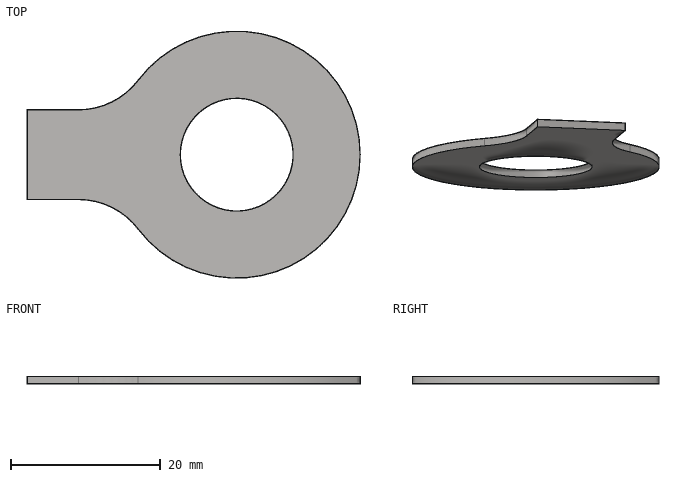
import cadquery as cq
import math

overall_length = 44.45
disc_diameter = 32.97
hole_diameter = 15.0
tab_width = 12.0
blend_radius = 10.0
thickness = 1.0

disc_radius = disc_diameter / 2
tab_half_width = tab_width / 2
tab_end_x = disc_radius - overall_length

blend_center_y = tab_half_width + blend_radius
center_distance = disc_radius + blend_radius
blend_center_x = -math.sqrt(center_distance**2 - blend_center_y**2)

disc_share = disc_radius / center_distance
disc_tangent_x = blend_center_x * disc_share
disc_tangent_y = blend_center_y * disc_share

start_angle = -math.pi / 2
end_angle = math.atan2(-blend_center_y, -blend_center_x)
middle_angle = (start_angle + end_angle) / 2
blend_middle_x = blend_center_x + blend_radius * math.cos(middle_angle)
blend_middle_y = blend_center_y + blend_radius * math.sin(middle_angle)

plate = (
    cq.Workplane("XY")
    .moveTo(tab_end_x, -tab_half_width)
    .lineTo(blend_center_x, -tab_half_width)
    .threePointArc((blend_middle_x, -blend_middle_y), (disc_tangent_x, -disc_tangent_y))
    .threePointArc((disc_radius, 0), (disc_tangent_x, disc_tangent_y))
    .threePointArc((blend_middle_x, blend_middle_y), (blend_center_x, tab_half_width))
    .lineTo(tab_end_x, tab_half_width)
    .close()
    .extrude(thickness)
)

result = plate.faces(">Z").workplane(origin=(0, 0, thickness)).hole(hole_diameter)